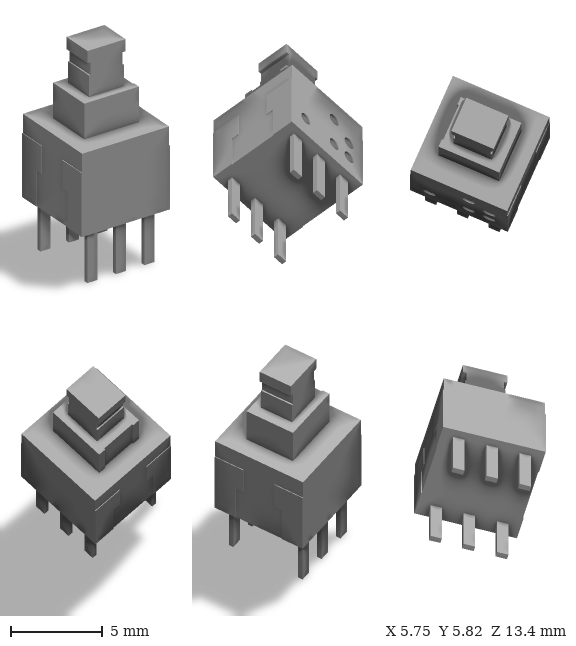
import cadquery as cq

total_height = 13.39
body_width = 5.75
overall_depth = 5.82
body_depth = body_width

body_bottom = 3.23
shell_waist = 5.46
shell_top = 7.16
body_top = 8.34
collar_top = 10.52
groove_bottom = 11.85
groove_top = 12.64

collar_width = 3.03
collar_depth = 3.62
recess_width = 2.12
recess_depth = 0.08

plunger_width = 2.04
stem_depth = 2.29
groove_depth = 2.12
head_depth = 2.52

pin_thickness = 0.3
pin_width = 0.65
pin_row_x = 2.26
pin_pitch = 1.89

hole_diameter = 0.75
hole_depth = 0.12
front_hole_y = -1.8
middle_hole_y = -0.58
back_hole_y = 1.75
low_hole_z = 4.59
upper_hole_z = 5.84
top_hole_z = 6.76
hole_centres = [
    (front_hole_y, low_hole_z),
    (front_hole_y, upper_hole_z),
    (middle_hole_y, low_hole_z),
    (middle_hole_y, top_hole_z),
    (back_hole_y, low_hole_z),
]


def block(width, depth, bottom, top, x=0, y=0):
    """Box centred at (x, y) that spans bottom to top along Z."""
    size_z = top - bottom
    return cq.Workplane("XY").box(width, depth, size_z).translate((x, y, bottom + size_z / 2))


def make_shell_half():
    """Shell half on the -X side, whose tabs stand proud of both Y faces of the body."""
    outer_x = -body_width / 2
    tab_x = -plunger_width / 2
    waist_x = -collar_width / 2
    outline = [
        (outer_x, body_bottom),
        (waist_x, body_bottom),
        (waist_x, shell_waist),
        (tab_x, shell_waist),
        (tab_x, shell_top),
        (outer_x, shell_top),
    ]
    return cq.Workplane("XZ").polyline(outline).close().extrude(overall_depth / 2, both=True)


def make_housing():
    """Square body clad by two mirrored shell halves."""
    body = block(body_width, body_depth, body_bottom, body_top)
    shell_half = make_shell_half()
    return body.union(shell_half).union(shell_half.mirror("YZ"))


def make_collar():
    """Raised collar with the recess along its full height."""
    collar = block(collar_width, collar_depth, body_top, collar_top)
    recess_y = (collar_depth - recess_depth) / 2
    return collar.cut(block(recess_width, recess_depth, body_top, collar_top, y=recess_y))


def make_plunger():
    """Stem, grooved neck and head stacked on the collar."""
    stem = block(plunger_width, stem_depth, collar_top, groove_bottom)
    neck = block(plunger_width, groove_depth, groove_bottom, groove_top)
    head = block(plunger_width, head_depth, groove_top, total_height)
    return stem.union(neck).union(head)


def make_holes():
    """Cutters for the shallow holes in the -X face."""
    face = cq.Workplane("YZ", origin=(-body_width / 2, 0, 0))
    return face.pushPoints(hole_centres).circle(hole_diameter / 2).extrude(hole_depth)


result = make_housing().union(make_collar()).union(make_plunger())
for row_x in (-pin_row_x, pin_row_x):
    for pin_y in (-pin_pitch, 0, pin_pitch):
        result = result.union(block(pin_thickness, pin_width, 0, body_bottom, row_x, pin_y))
result = result.cut(make_holes())